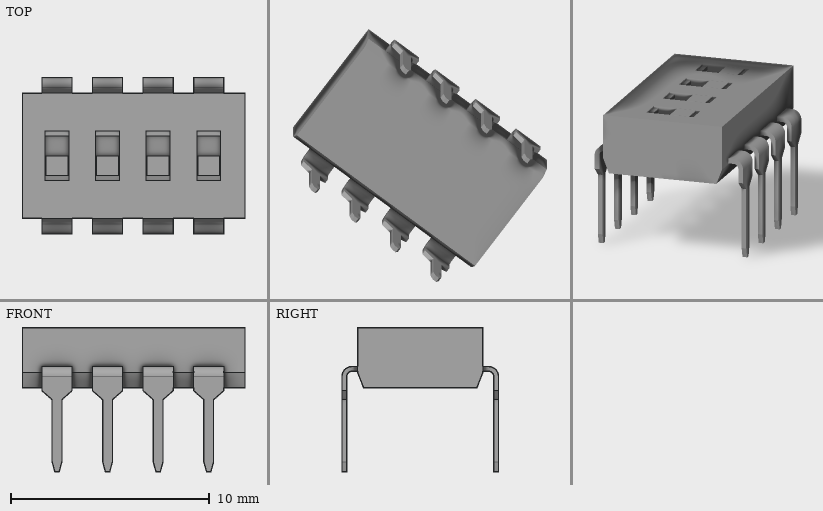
import cadquery as cq


body_length = 11.2
body_width = 6.3
body_height = 3.02
bevel_height = 0.77
bevel_inset = 0.3

switch_count = 4
pitch = 2.54
row_offset = -0.05

slot_width = 1.2
slot_length = 2.5
ledge_length = 0.25
ledge_depth = 0.1
pocket_depth = 0.3
slider_width = 1.1
pocket_length = slot_length - 2 * ledge_length
slider_length = pocket_length / 2

overall_width = 7.87
overall_height = 7.25
pin_thickness = 0.25
bend_radius = 0.5
shoulder_width = 1.52
leg_width = 0.5
tip_width = 0.22
tip_length = 0.5
pin_top = 1.08
shoulder_bottom = -0.15
shoulder_taper = 0.45
leg_top = shoulder_bottom - shoulder_taper
pin_bottom = body_height - overall_height
pin_embed = 0.11

switch_xs = [row_offset + (i - (switch_count - 1) / 2) * pitch for i in range(switch_count)]


def make_body():
    """Block whose two long lower edges are bevelled inward."""
    half_width = body_width / 2
    base_half_width = half_width - bevel_inset
    return (
        cq.Workplane("YZ", origin=(-body_length / 2, 0, 0))
        .moveTo(-base_half_width, 0)
        .lineTo(base_half_width, 0)
        .lineTo(half_width, bevel_height)
        .lineTo(half_width, body_height)
        .lineTo(-half_width, body_height)
        .lineTo(-half_width, bevel_height)
        .close()
        .extrude(body_length)
    )


def block_from_top(x, y, width, length, depth):
    """Upright block reaching from the body's top face down to a depth."""
    return (
        cq.Workplane("XY", origin=(x, y, body_height - depth))
        .rect(width, length)
        .extrude(depth)
    )


def make_slot(x):
    """Shallow slot with a deeper pocket that leaves a ledge at each end."""
    ledges = block_from_top(x, 0, slot_width, slot_length, ledge_depth)
    pocket = block_from_top(x, 0, slot_width, pocket_length, pocket_depth)
    return ledges.union(pocket)


def make_slider(x):
    """Slider filling the -Y half of the pocket, its top flush with the body's top face."""
    return block_from_top(x, -slider_length / 2, slider_width, slider_length, pocket_depth)


def make_pin(x):
    """Pin on the -Y side: a bent strip trimmed to the stepped, pointed leg shape."""
    outer_y = -overall_width / 2
    inner_y = outer_y + pin_thickness
    bend_y = outer_y + bend_radius
    bend_z = pin_top - bend_radius
    root_y = -body_width / 2 + pin_embed
    strip = (
        cq.Workplane("YZ", origin=(x - shoulder_width / 2, 0, 0))
        .moveTo(root_y, pin_top)
        .lineTo(bend_y, pin_top)
        .radiusArc((outer_y, bend_z), -bend_radius)
        .lineTo(outer_y, pin_bottom)
        .lineTo(inner_y, pin_bottom)
        .lineTo(inner_y, bend_z)
        .radiusArc((bend_y, pin_top - pin_thickness), bend_radius - pin_thickness)
        .lineTo(root_y, pin_top - pin_thickness)
        .close()
        .extrude(shoulder_width)
    )
    right_edge = [
        (shoulder_width / 2, pin_top),
        (shoulder_width / 2, shoulder_bottom),
        (leg_width / 2, leg_top),
        (leg_width / 2, pin_bottom + tip_length),
        (tip_width / 2, pin_bottom),
    ]
    left_edge = [(-edge_x, edge_z) for edge_x, edge_z in reversed(right_edge)]
    outline = (
        cq.Workplane("XZ", origin=(x, 0, 0))
        .polyline(right_edge + left_edge)
        .close()
        .extrude(overall_width / 2)
    )
    return strip.intersect(outline)


result = make_body()
for switch_x in switch_xs:
    front_pin = make_pin(switch_x)
    back_pin = front_pin.mirror("XZ")
    result = result.cut(make_slot(switch_x)).union(make_slider(switch_x))
    result = result.union(front_pin).union(back_pin)